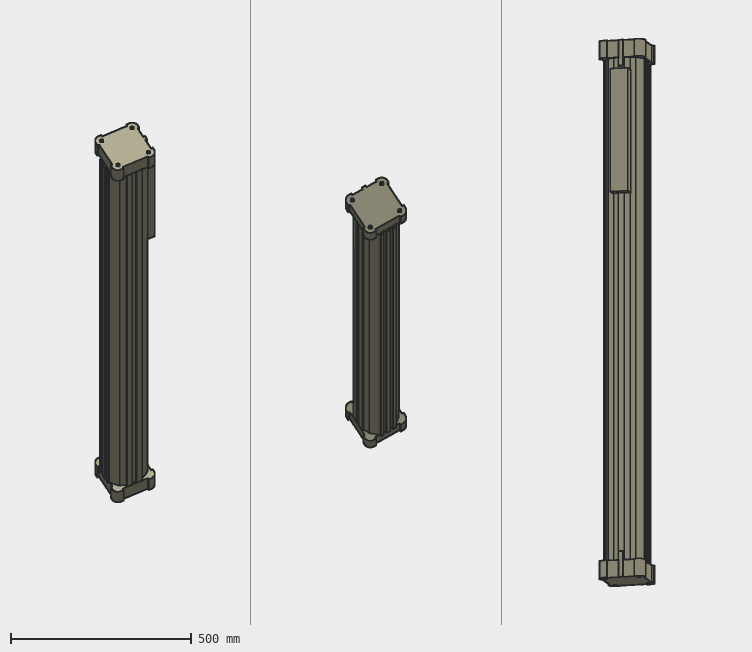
import cadquery as cq

total_length = 1520.0
overall_depth = 147.0

cap_width = 132.0
cap_half = cap_width / 2
cap_height = 49.0
corner_radius = 18.0
face_recess = 5.3
recess_width = 79.0
bolt_offset = cap_half - corner_radius
bolt_hole_diameter = 6.0
bolt_hole_depth = 30.0
counterbore_diameter = 9.9
counterbore_depth = 8.0

tongue_width = 12.0
tongue_thickness = 9.0
tongue_overhang = 25.0

rail_height = 5.0
front_rail_overhang = 0.9
front_rail_width = 49.0
front_rail_face = cap_half + front_rail_overhang
front_base = front_rail_face - rail_height
front_groove_width = 9.5
front_center_rib_width = 12.0
waist_width = 95.0
waist_front = 43.0
shoulder_width = 99.0
shoulder_front = 36.0
side_rail_face = cap_half - face_recess
side_base = side_rail_face - rail_height
side_rail_width = 47.0
side_groove_width = 14.0
side_rail_center = -2.0
side_rail_front = side_rail_center - side_rail_width / 2
side_rail_back = side_rail_center + side_rail_width / 2
back_corner = 44.0
back_base = 50.0
back_base_width = 79.0
ridge_top = cap_half - tongue_thickness
ridge_foot_width = 47.0
ridge_top_width = 18.0

plate_width = 50.0
plate_back = overall_depth - front_rail_face
plate_length = 348.0
plate_end_gap = 84.0
plate_top = total_length - plate_end_gap


def block(x_min, x_max, y_min, y_max, z_min, z_max):
    """Axis-aligned box between two opposite corners."""
    size = (x_max - x_min, y_max - y_min, z_max - z_min)
    return cq.Workplane("XY").box(*size, centered=False).translate((x_min, y_min, z_min))


def make_profile():
    """Grooved extrusion between the caps, with the mounting plate on its back."""
    z_min = cap_height
    z_max = total_length - cap_height
    right_half = [
        (front_rail_width / 2, -front_rail_face),
        (front_rail_width / 2, -front_base),
        (waist_width / 2, -waist_front),
        (shoulder_width / 2, -shoulder_front),
        (side_base, side_rail_front),
        (side_rail_face, side_rail_front),
        (side_rail_face, side_rail_back),
        (side_base, side_rail_back),
        (back_corner, back_corner),
        (back_base_width / 2, back_base),
        (ridge_foot_width / 2, back_base),
        (ridge_top_width / 2, ridge_top),
    ]
    left_half = [(-x, y) for x, y in reversed(right_half)]
    profile = (
        cq.Workplane("XY")
        .workplane(offset=z_min)
        .polyline(right_half + left_half)
        .close()
        .extrude(z_max - z_min)
    )

    front_groove_inner = front_center_rib_width / 2
    side_groove_front = side_rail_center - side_groove_width / 2
    right_grooves = [
        block(
            side_base,
            side_rail_face,
            side_groove_front,
            side_groove_front + side_groove_width,
            z_min,
            z_max,
        ),
        block(
            front_groove_inner,
            front_groove_inner + front_groove_width,
            -front_rail_face,
            -front_base,
            z_min,
            z_max,
        ),
    ]
    for groove in right_grooves:
        profile = profile.cut(groove).cut(groove.mirror("YZ"))

    plate = block(
        -plate_width / 2,
        plate_width / 2,
        back_base,
        plate_back,
        plate_top - plate_length,
        plate_top,
    )
    return profile.union(plate)


def make_bottom_cap():
    """Square end cap with round corners, recessed faces, blind counterbored holes and a back tongue."""
    cap = block(-cap_half, cap_half, -cap_half, cap_half, 0, cap_height)
    cap = cap.edges("|Z").fillet(corner_radius)

    for quarter in range(4):
        recess = block(
            cap_half - face_recess,
            cap_half + face_recess,
            -recess_width / 2,
            recess_width / 2,
            0,
            cap_height,
        )
        cap = cap.cut(recess.rotate((0, 0, 0), (0, 0, 1), 90 * quarter))

    cap = (
        cap.faces("<Z")
        .workplane(origin=(0, 0, 0))
        .rect(2 * bolt_offset, 2 * bolt_offset, forConstruction=True)
        .vertices()
        .cboreHole(bolt_hole_diameter, counterbore_diameter, counterbore_depth, bolt_hole_depth)
    )
    tongue = block(
        -tongue_width / 2,
        tongue_width / 2,
        ridge_top,
        cap_half,
        0,
        cap_height + tongue_overhang,
    )
    return cap.union(tongue)


profile = make_profile()
bottom_cap = make_bottom_cap()
top_cap = bottom_cap.mirror("XY", (0, 0, total_length / 2))

result = cq.Compound.makeCompound([profile.val(), bottom_cap.val(), top_cap.val()])